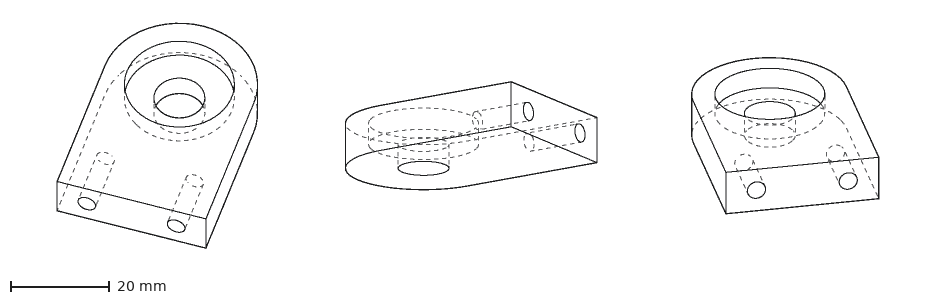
import cadquery as cq
import math

length = 47.6
width = 31.75
thickness = 9.5
end_radius = width / 2
straight_length = length - end_radius

bore_diameter = 10.35
counterbore_diameter = 22.32
counterbore_depth = 4.47

drill_diameter = 3.75
drill_spacing = 19.05
drill_depth = 12.38
drill_point_angle = 118.0


def make_plate():
    """Plate with its flat end on Y = 0 and its underside on Z = 0."""
    return (
        cq.Workplane("XY")
        .moveTo(-end_radius, 0)
        .lineTo(end_radius, 0)
        .lineTo(end_radius, straight_length)
        .threePointArc((0, length), (-end_radius, straight_length))
        .close()
        .extrude(thickness)
    )


def make_drilled_hole(x):
    """Cutter for a blind hole along +Y with a conical drill point."""
    radius = drill_diameter / 2
    point_length = radius / math.tan(math.radians(drill_point_angle / 2))
    half_section = [
        (0, 0),
        (radius, 0),
        (radius, drill_depth),
        (0, drill_depth + point_length),
    ]
    return (
        cq.Workplane("XY")
        .polyline(half_section)
        .close()
        .revolve(360, (0, 0), (0, 1))
        .translate((x, 0, thickness / 2))
    )


result = (
    make_plate()
    .faces(">Z")
    .workplane(origin=(0, straight_length, thickness))
    .cboreHole(bore_diameter, counterbore_diameter, counterbore_depth)
)
for side in (-1, 1):
    result = result.cut(make_drilled_hole(side * drill_spacing / 2))